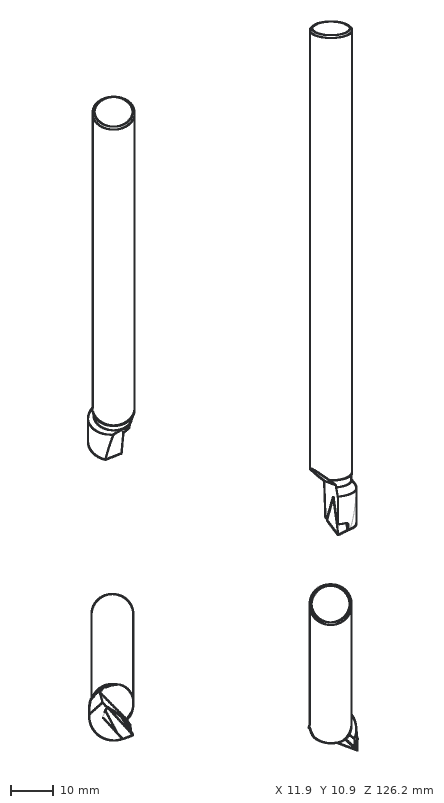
import cadquery as cq
import math

total_length = 126.2
shank_diameter = 10.0
shank_radius = shank_diameter / 2
end_chamfer = 0.5
shank_bottom = 13.3
neck_radius = 4.8
neck_bottom = 11.4

head_diameter = 11.7
head_radius = head_diameter / 2
head_offset = -0.5
head_bottom = 0.6
head_height = neck_bottom - head_bottom
cone_slope = 0.7
cone_radius = neck_radius + cone_slope * head_height

flank_bottom_radius = 6.3
flank_top_radius = 6.0
back_point = (4.9, 0.0, neck_bottom)
back_normal = (1.0, 0.0, -0.11)

flat_y = 0.3
runout_point = (0.0, 0.0, 10.5)
runout_normal = (-0.25, 0.9, -1.0)

insert_top_y = 0.4
insert_thickness = 2.5
insert_relief_angle = 11.0
insert_side = 9.3
insert_corner_radius = 0.19
insert_overhang = 1.9
insert_tip_x = -(shank_radius + insert_overhang)
corner_angle = 60.0
insert_tilt = 3.0

tip_relief_top = 2.5
tip_relief_setback = 0.5
tip_relief_depth = 2.5
tip_relief_radius = 0.9

cutter_size = 75.8


def half_space(point, normal):
    """Large block whose base lies on a plane and which extends along the normal."""
    return cq.Workplane(cq.Plane(origin=point, normal=normal)).rect(cutter_size, cutter_size).extrude(cutter_size)


def make_shank():
    shank = (
        cq.Workplane("XY", origin=(0, 0, shank_bottom))
        .circle(shank_radius)
        .extrude(total_length - shank_bottom)
        .faces(">Z")
        .chamfer(end_chamfer)
    )
    neck = cq.Workplane("XY", origin=(0, 0, neck_bottom)).circle(neck_radius).extrude(shank_bottom - neck_bottom)
    return shank.union(neck)


def cone_frustum(bottom_radius, top_radius):
    """Cone around the shank axis that spans the height of the head."""
    return cq.Workplane(
        cq.Solid.makeCone(bottom_radius, top_radius, head_height, cq.Vector(0, 0, head_bottom))
    )


def make_head():
    cylinder = (
        cq.Workplane("XY", origin=(head_offset, 0, head_bottom))
        .circle(head_radius)
        .extrude(head_height)
    )
    head = cylinder.intersect(cone_frustum(cone_radius, neck_radius))
    head = head.intersect(cone_frustum(flank_bottom_radius, flank_top_radius))
    return head.cut(half_space(back_point, back_normal))


def make_chip_clearance():
    above_flat = half_space((0, flat_y, 0), (0, 1, 0))
    return above_flat.intersect(half_space(runout_point, runout_normal))


def make_tip_relief():
    """Recess with one rounded corner, bounded by a wall parallel to the insert's slanted edge."""
    block = (
        cq.Workplane("YZ", origin=(-cutter_size / 2, 0, 0))
        .moveTo(-tip_relief_depth, 0)
        .lineTo(cutter_size / 2, 0)
        .lineTo(cutter_size / 2, tip_relief_top)
        .lineTo(tip_relief_radius - tip_relief_depth, tip_relief_top)
        .radiusArc((-tip_relief_depth, tip_relief_top - tip_relief_radius), -tip_relief_radius)
        .close()
        .extrude(cutter_size)
    )
    wall_angle = math.radians(insert_tilt + corner_angle)
    wall_point = (insert_tip_x + tip_relief_setback, 0, 0)
    outward = (-math.sin(wall_angle), 0, math.cos(wall_angle))
    return block.intersect(half_space(wall_point, outward))


def make_insert():
    height = insert_side * math.sin(math.radians(corner_angle))
    blank = (
        cq.Workplane("XZ", origin=(0, insert_top_y, 0))
        .polyline([(0, 0), (insert_side, 0), (insert_side / 2, height)])
        .close()
        .extrude(insert_thickness, taper=insert_relief_angle)
    )
    insert = blank.edges("not(<Y or >Y)").fillet(insert_corner_radius)
    insert = insert.rotate((0, 0, 0), (0, 1, 0), -insert_tilt)
    bounds = insert.val().BoundingBox()
    return insert.translate((insert_tip_x - bounds.xmin, 0, -bounds.zmin))


insert = make_insert()
bar = make_shank().union(make_head())
bar = bar.cut(make_chip_clearance())
bar = bar.cut(make_tip_relief())
bar = bar.cut(insert)

result = cq.Compound.makeCompound([bar.solids().val(), insert.solids().val()])